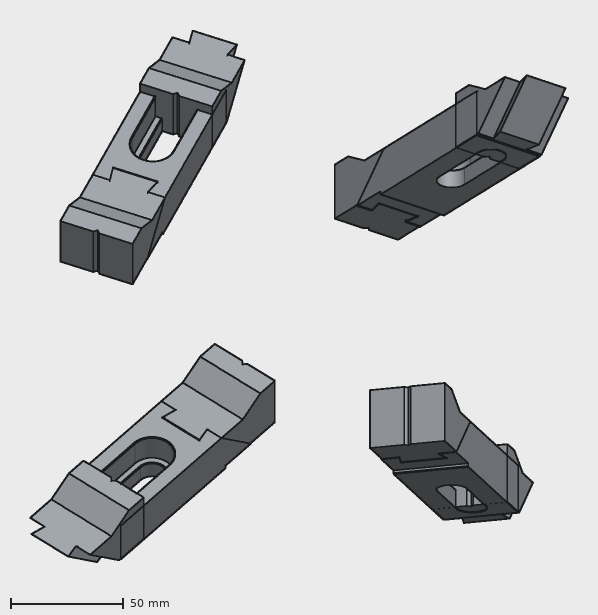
import cadquery as cq

width = 35.0
jaw_height = 27.0
shelf_height = 20.0
jaw_top_length = 10.1
ramp_end = 22.3
shoulder_y = 37.0
shoulder_foot_y = shoulder_y - shelf_height
tongue_length = 7.2
tongue_root_width = 18.4
tongue_tip_width = 21.5
groove_depth = 1.5

overall_length = 135.0
rear_jaw_y = overall_length - shoulder_y - tongue_length
rear_jaw_drop = 1.6

overall_height = 29.0
base_bottom = jaw_height - overall_height
base_rear_y = 106.8
front_underside = -0.4
underside_step_y = 34.0
socket_clearance = 0.4
edge_chamfer = 0.4

slot_width = 20.0
slot_through_width = 13.6
slot_front_y = 54.3
slot_end_wall = 3.2
ledge_depth = 13.2


def extrude_side_profile(points):
    """Extrude a closed Y-Z outline symmetrically across the width."""
    return cq.Workplane("YZ").polyline(points).close().extrude(width / 2, both=True)


def make_tongue(clearance=0.0, bottom_z=0.0):
    """Dovetail swept along the 45 degree mating face; optional gap at its tip."""
    length = tongue_length + clearance
    tip_width = tongue_root_width + (tongue_tip_width - tongue_root_width) * length / tongue_length

    def section(z):
        root_y = shoulder_foot_y + z
        corners = [
            cq.Vector(-tongue_root_width / 2, root_y, z),
            cq.Vector(tongue_root_width / 2, root_y, z),
            cq.Vector(tip_width / 2, root_y + length, z),
            cq.Vector(-tip_width / 2, root_y + length, z),
        ]
        return cq.Wire.makePolygon(corners, close=True)

    return cq.Workplane(cq.Solid.makeLoft([section(bottom_z), section(shelf_height)], True))


def make_jaw():
    """Whole clamping jaw with its front face at y = 0 and underside at z = 0."""
    body = extrude_side_profile([
        (0, 0),
        (shoulder_foot_y, 0),
        (shoulder_y, shelf_height),
        (ramp_end, shelf_height),
        (jaw_top_length, jaw_height),
        (0, jaw_height),
    ])
    groove = (
        cq.Workplane("XY")
        .polyline([(-groove_depth, 0), (groove_depth, 0), (0, groove_depth)])
        .close()
        .extrude(jaw_height)
    )
    return body.union(make_tongue()).cut(groove)


def make_slot(slot_size, bottom_z, top_z):
    """Straight round-ended cutter; all slot sizes share the same end centres."""
    front_centre = slot_front_y + slot_width / 2
    rear_centre = base_rear_y - slot_end_wall - slot_width / 2
    return (
        cq.Workplane("XY", origin=(0, (front_centre + rear_centre) / 2, bottom_z))
        .slot2D(rear_centre - front_centre + slot_size, slot_size, 90)
        .extrude(top_z - bottom_z)
    )


def make_rim_chamfer(slot_size, rim_z):
    """Cutter that bevels the upper rim of a slot."""
    return (
        make_slot(slot_size + 2 * edge_chamfer, rim_z - edge_chamfer, rim_z + edge_chamfer)
        .faces("<Z")
        .chamfer(edge_chamfer)
    )


def make_full_base():
    """Base including the rear end that is enclosed by the rear jaw."""
    body = extrude_side_profile([
        (shoulder_foot_y + front_underside, front_underside),
        (shoulder_y, shelf_height),
        (base_rear_y, shelf_height),
        (base_rear_y, base_bottom + edge_chamfer),
        (base_rear_y - edge_chamfer, base_bottom),
        (underside_step_y + edge_chamfer, base_bottom),
        (underside_step_y, base_bottom + edge_chamfer),
        (underside_step_y, front_underside),
    ])
    ledge_z = shelf_height - ledge_depth
    upper_slot = make_slot(slot_width, ledge_z, shelf_height)
    lower_slot = make_slot(slot_through_width, base_bottom, ledge_z)
    body = body.cut(upper_slot).cut(lower_slot)
    body = body.cut(make_rim_chamfer(slot_width, shelf_height))
    body = body.cut(make_rim_chamfer(slot_through_width, ledge_z))
    return body.cut(make_tongue(socket_clearance, base_bottom))


front_jaw = make_jaw()
whole_rear_jaw = make_jaw().translate((0, rear_jaw_y, -rear_jaw_drop))
full_base = make_full_base()

end_block = full_base.intersect(whole_rear_jaw)
base = full_base.cut(whole_rear_jaw)
rear_jaw = whole_rear_jaw.cut(end_block)

result = cq.Compound.makeCompound([front_jaw.val(), base.val(), end_block.val(), rear_jaw.val()])